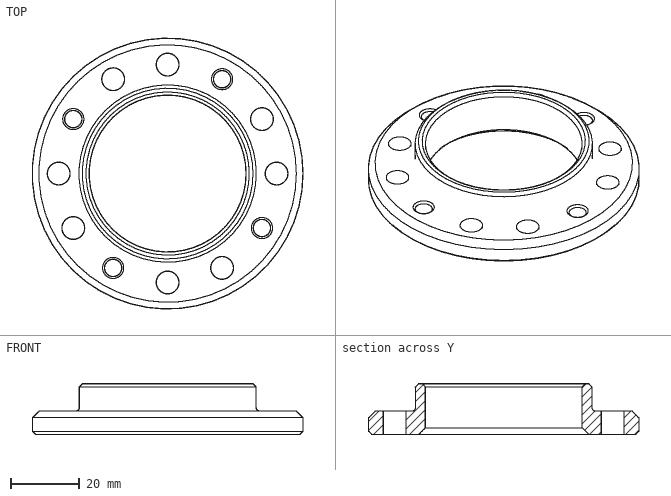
import cadquery as cq
import math

flange_diameter = 79.6
flange_thickness = 6.9
flange_top_chamfer = 2.0
flange_bottom_chamfer = 0.95
hub_diameter = 52.05
total_height = 15.0
hub_chamfer = 0.95
hub_root_fillet = 1.0

bore_diameter = 46.0
bore_top_chamfer = 0.95
bore_bottom_chamfer = 2.0

bolt_circle_radius = 32.0
hole_count = 12
plain_hole_diameter = 6.6
small_hole_diameter = 5.0
countersink_diameter = 6.2
small_hole_spacing = 3
first_small_hole = 2

flange_radius = flange_diameter / 2
hub_radius = hub_diameter / 2
bore_radius = bore_diameter / 2


def ring_body():
    """Flange, hub and chamfered bore, revolved about Z from a half section."""
    root_height = flange_thickness + hub_root_fillet
    fillet_offset = hub_root_fillet * (1 - math.sqrt(0.5))
    return (
        cq.Workplane("XZ")
        .moveTo(bore_radius + bore_bottom_chamfer, 0)
        .lineTo(flange_radius - flange_bottom_chamfer, 0)
        .lineTo(flange_radius, flange_bottom_chamfer)
        .lineTo(flange_radius, flange_thickness - flange_top_chamfer)
        .lineTo(flange_radius - flange_top_chamfer, flange_thickness)
        .lineTo(hub_radius + hub_root_fillet, flange_thickness)
        .threePointArc(
            (hub_radius + fillet_offset, flange_thickness + fillet_offset),
            (hub_radius, root_height),
        )
        .lineTo(hub_radius, total_height - hub_chamfer)
        .lineTo(hub_radius - hub_chamfer, total_height)
        .lineTo(bore_radius + bore_top_chamfer, total_height)
        .lineTo(bore_radius, total_height - bore_top_chamfer)
        .lineTo(bore_radius, bore_bottom_chamfer)
        .close()
        .revolve(360, (0, 0, 0), (0, 1, 0))
    )


def bolt_hole_center(index):
    angle = 2 * math.pi * index / hole_count
    return (bolt_circle_radius * math.cos(angle), bolt_circle_radius * math.sin(angle))


small_hole_indices = range(first_small_hole, hole_count, small_hole_spacing)
small_centers = [bolt_hole_center(i) for i in small_hole_indices]
plain_centers = [bolt_hole_center(i) for i in range(hole_count) if i not in small_hole_indices]

flange_top = cq.Workplane("XY").workplane(offset=flange_thickness)
plain_holes = flange_top.pushPoints(plain_centers).circle(plain_hole_diameter / 2).extrude(-flange_thickness)
small_holes = flange_top.pushPoints(small_centers).circle(small_hole_diameter / 2).extrude(-flange_thickness)

countersink_depth = (countersink_diameter - small_hole_diameter) / 2
countersinks = (
    flange_top.pushPoints(small_centers)
    .circle(countersink_diameter / 2)
    .extrude(-countersink_depth, taper=45)
)

result = ring_body().cut(plain_holes).cut(small_holes).cut(countersinks)